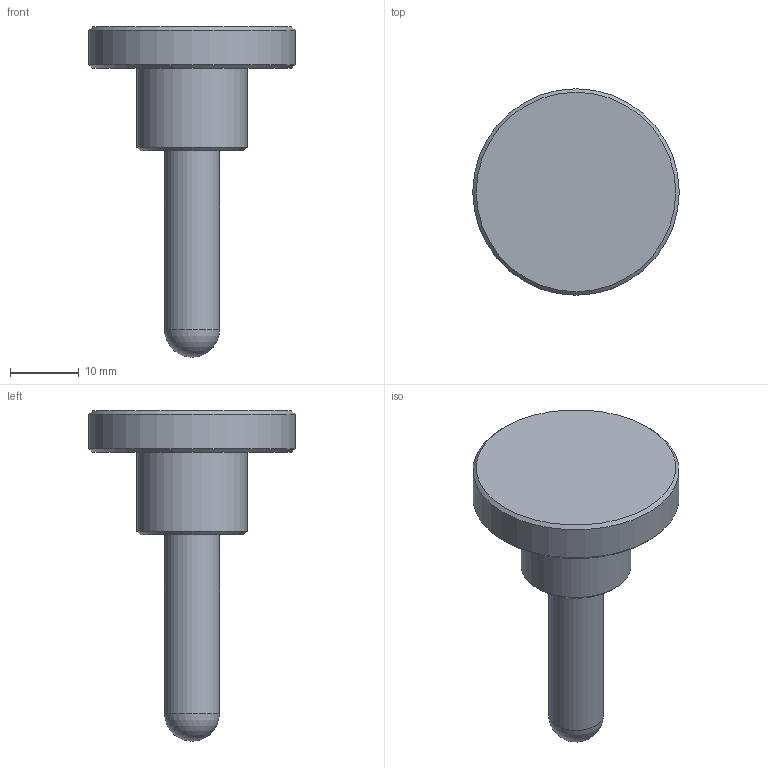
import cadquery as cq

head_diameter = 30.0
head_height = 6.0
collar_diameter = 16.0
collar_height = 12.0
pin_diameter = 8.0
pin_length = 30.0
edge_chamfer = 0.5

collar_bottom = pin_length
head_bottom = collar_bottom + collar_height


def make_head():
    """Knob disc, chamfered on both rims."""
    return (
        cq.Workplane("XY")
        .workplane(offset=head_bottom)
        .circle(head_diameter / 2)
        .extrude(head_height)
        .faces("<Z or >Z")
        .chamfer(edge_chamfer)
    )


def make_collar():
    """Collar under the head, chamfered on its lower rim."""
    return (
        cq.Workplane("XY")
        .workplane(offset=collar_bottom)
        .circle(collar_diameter / 2)
        .extrude(collar_height)
        .faces("<Z")
        .chamfer(edge_chamfer)
    )


def make_pin():
    """Straight pin with a hemispherical tip, revolved about Z."""
    radius = pin_diameter / 2
    diagonal = radius * 0.5**0.5
    return (
        cq.Workplane("XZ")
        .threePointArc((diagonal, radius - diagonal), (radius, radius))
        .lineTo(radius, collar_bottom)
        .lineTo(0, collar_bottom)
        .close()
        .revolve(360, (0, 0, 0), (0, 1, 0))
    )


result = make_head().union(make_collar()).union(make_pin())